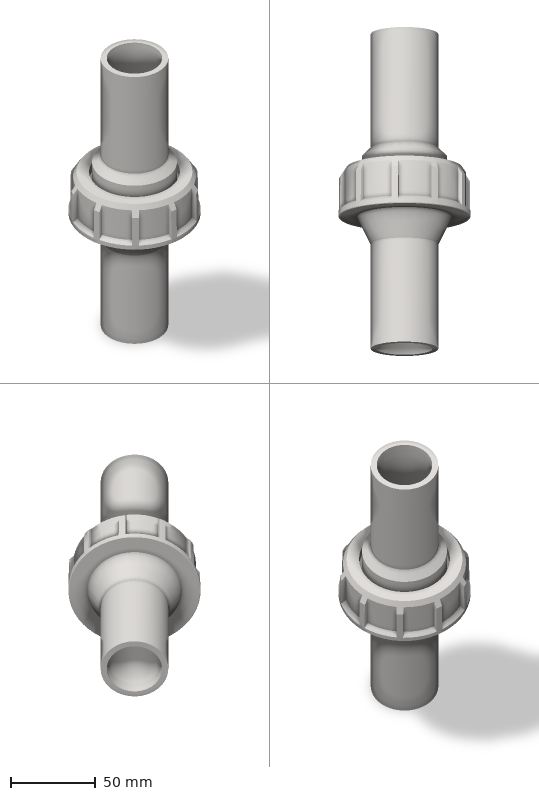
import cadquery as cq

total_height = 190.0
tube_radius = 20.0
bore_radius = 16.3

nut_bottom = 79.6
nut_top = 109.2
nut_top_radius = 34.2
rim_diameter = 78.0
rim_radius = rim_diameter / 2
rim_top = 82.8
rim_edge_chamfer = 0.4
rib_top_radius = 38.8
shoulder_z = 102.5
lip_bottom = 102.6
lip_hole_radius = 26.8

rib_count = 10
rib_width = 4.0
rib_turn = 0.8
pocket_radius = 36.3
pocket_floor_z = 85.1

cone_bottom = 62.9
socket_radius = 28.0
joint_z = 95.0

collar_radius = 25.0
collar_straight_top = 116.0
collar_top = 121.2


def revolve_profile(points):
    """Revolve a closed (radius, z) outline about the Z axis."""
    return cq.Workplane("XZ").polyline(points).close().revolve(360, (0, 0), (0, 1))


def make_rib(angle):
    """Straight-sided radial bar that stays standing between two pockets."""
    return (
        cq.Workplane("XY", origin=(0, 0, nut_bottom))
        .center(rim_radius, 0)
        .rect(2 * rim_radius, rib_width)
        .extrude(nut_top - nut_bottom)
        .rotate((0, 0, 0), (0, 0, 1), angle)
    )


def make_grip_pockets():
    """Ring-shaped cut with a sloping floor, interrupted by the ribs."""
    pockets = revolve_profile([
        (pocket_radius, pocket_floor_z),
        (rim_radius, rim_top),
        (rim_radius, nut_top),
        (pocket_radius, nut_top),
    ])
    for index in range(rib_count):
        angle = 90 + rib_turn + index * 360 / rib_count
        pockets = pockets.cut(make_rib(angle))
    return pockets


def make_nut():
    """Coupling nut with an inner lip that holds the tailpiece flange."""
    blank = revolve_profile([
        (socket_radius, nut_bottom),
        (rim_radius - rim_edge_chamfer, nut_bottom),
        (rim_radius, nut_bottom + rim_edge_chamfer),
        (rim_radius, rim_top),
        (rib_top_radius, shoulder_z),
        (nut_top_radius, nut_top),
        (lip_hole_radius, nut_top),
        (lip_hole_radius, lip_bottom),
        (socket_radius, lip_bottom),
    ])
    return blank.cut(make_grip_pockets())


def make_lower_socket():
    """Lower tube that widens through a cone into the nut."""
    return revolve_profile([
        (bore_radius, 0),
        (tube_radius, 0),
        (tube_radius, cone_bottom),
        (socket_radius, nut_bottom),
        (socket_radius, joint_z),
        (bore_radius, joint_z),
    ])


def make_upper_tailpiece():
    """Upper tube with a chamfered collar and a flange caught under the nut lip."""
    return revolve_profile([
        (bore_radius, joint_z),
        (socket_radius, joint_z),
        (socket_radius, lip_bottom),
        (collar_radius, lip_bottom),
        (collar_radius, collar_straight_top),
        (tube_radius, collar_top),
        (tube_radius, total_height),
        (bore_radius, total_height),
    ])


nut = make_nut()
lower_socket = make_lower_socket()
upper_tailpiece = make_upper_tailpiece()

result = cq.Compound.makeCompound([nut.val(), lower_socket.val(), upper_tailpiece.val()])